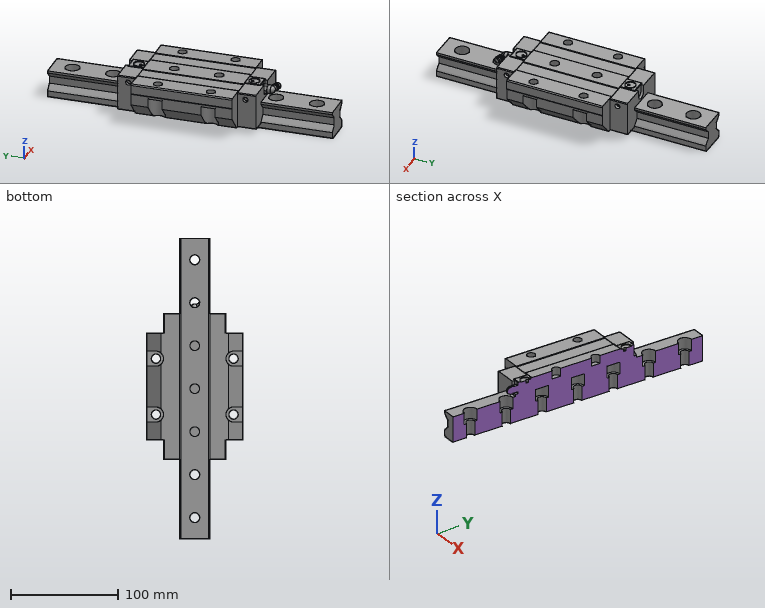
import cadquery as cq
import math


rail_length = 280
rail_half_width = 14
rail_height = 27.5
rail_bottom_chamfer = 1.0
rail_foot_top = 6.7
rail_head_bottom = 25.2
rail_edge_half_width = 13.0
rail_edge_height = 1.5
neck_half_width = 8.7
neck_bottom = 12.3
neck_top = 19.5
rail_hole_pitch = 40.0
rail_hole_count = 7
rail_hole_diameter = 9.0
rail_counterbore_diameter = 14
rail_counterbore_depth = 12.0

overall_height = 42
body_bottom = 6.0
body_length = 99.5
body_center_y = -2.0
flange_half_width = 44.95
flange_chamfer = 1.0
side_step_height = 31.5
side_step_depth = 0.5
side_step_rise = 0.8
slope_top = 20.5
slope_bottom_half_width = 31.5
recess_inner_half_width = 10.5
recess_outer_half_width = 25.8
recess_depth = 0.5
recess_wall_run = 0.5
flange_hole_x = 36.0
flange_hole_spacing = 52.0
flange_hole_diameter = 8.5
flange_pocket_width = 14
flange_pocket_top = 29.0
center_hole_spacing = 44.0
center_hole_diameter = 9.0
center_hole_depth = 8.5

cap_length = 18.2
cap_half_width = 29.0
cap_top = 41.2
cap_chamfer = 0.8
cap_side_hole_diameter = 5.0
cap_side_hole_depth = 3.5
cap_side_hole_z = 35.3
cap_side_hole_offset = 7.8
pad_width = 16.0
pad_length = 15.7
pad_top = 41.7
pad_chamfer = 0.8
seal_diameter = 10.5
seal_depth = 0.8
seal_offset = 7.0
oil_hole_diameter = 2.2
oil_hole_depth = 2.8
oil_hole_shift = 1.82

port_z = 35.0
port_width = 10.5
port_depth = 2.8
nipple_hex_flats = 7.5
nipple_collar_start = 2.2
nipple_collar_length = 3.5
nipple_collar_diameter = 8.5
nipple_ball_diameter = 7.3
nipple_arm_angle = 18
nipple_arm_diameters = (5.5, 6.7, 4.8, 6.2)
nipple_arm_ends = (4.8, 6.5, 8.0, 10.5)
nipple_tip_diameter = 5.0
nipple_tip_end = 11.5

body_end = body_length / 2
cap_end = body_end + cap_length


def mirrored_profile(right_half, length):
    """Extrude a section given by its right half, bottom to top, centred along Y."""
    left_half = [(-x, z) for x, z in reversed(right_half)]
    section = cq.Workplane("XZ").polyline(right_half + left_half).close()
    return section.extrude(length / 2, both=True)


def box_between(x_range, y_range, z_range):
    size = [high - low for low, high in (x_range, y_range, z_range)]
    box = cq.Workplane("XY").box(*size, centered=False)
    return box.translate((x_range[0], y_range[0], z_range[0]))


def cylinder(diameter, start, direction, length):
    return cq.Workplane(cq.Solid.makeCylinder(
        diameter / 2, length, cq.Vector(*start), cq.Vector(*direction)))


def make_rail_blank():
    return mirrored_profile(
        [
            (rail_half_width - rail_bottom_chamfer, 0),
            (rail_half_width, rail_bottom_chamfer),
            (rail_half_width, rail_foot_top),
            (rail_edge_half_width, rail_foot_top + rail_edge_height),
            (neck_half_width, neck_bottom),
            (neck_half_width, neck_top),
            (rail_edge_half_width, rail_head_bottom - rail_edge_height),
            (rail_half_width, rail_head_bottom),
            (rail_half_width, rail_height),
        ],
        rail_length,
    )


def drill_rail(rail):
    holes = (
        rail.faces(">Z").workplane(origin=(0, 0, rail_height))
        .rarray(2.8, rail_hole_pitch, 1, rail_hole_count)
    )
    return holes.cboreHole(rail_hole_diameter, rail_counterbore_diameter, rail_counterbore_depth)


def make_body():
    lower_half_width = flange_half_width - side_step_depth
    recess_floor = overall_height - recess_depth
    body = mirrored_profile(
        [
            (slope_bottom_half_width, body_bottom),
            (lower_half_width, slope_top),
            (lower_half_width, side_step_height),
            (flange_half_width, side_step_height + side_step_rise),
            (flange_half_width, overall_height - flange_chamfer),
            (flange_half_width - flange_chamfer, overall_height),
            (recess_outer_half_width, overall_height),
            (recess_outer_half_width - recess_wall_run, recess_floor),
            (recess_inner_half_width + recess_wall_run, recess_floor),
            (recess_inner_half_width, overall_height),
        ],
        body_length,
    )
    for side in (-1, 1):
        for end in (-1, 1):
            body = body.cut(make_flange_hole(side, end * flange_hole_spacing / 2))
    for end in (-1, 1):
        start = (0, end * center_hole_spacing / 2, overall_height)
        body = body.cut(cylinder(center_hole_diameter, start, (0, 0, -1), center_hole_depth))
    return body


def make_flange_hole(side, y):
    """Vertical hole over a round-ended pocket that opens to the outer side."""
    x = side * flange_hole_x
    half_width = flange_pocket_width / 2
    opening = box_between(
        sorted((x, side * flange_half_width)),
        (y - half_width, y + half_width),
        (0, flange_pocket_top),
    )
    pocket_end = cylinder(flange_pocket_width, (x, y, 0), (0, 0, 1), flange_pocket_top)
    hole = cylinder(flange_hole_diameter, (x, y, 0), (0, 0, 1), overall_height)
    return opening.union(pocket_end).union(hole)


def make_cap():
    """End cap at the -Y end of the carriage."""
    cap = box_between((-cap_half_width, cap_half_width), (-cap_end, -body_end), (body_bottom, cap_top))
    cap = cap.edges("|Y").chamfer(cap_chamfer)
    pad_end = -body_end - pad_length
    pad = box_between((-pad_width / 2, pad_width / 2), (pad_end, -body_end), (port_z, pad_top))
    pad = pad.faces(">Z").edges("<X or >X or <Y").chamfer(pad_chamfer)
    cap = cap.union(pad)

    seal_y = -body_end - seal_offset
    seal_floor = pad_top - seal_depth
    cap = cap.cut(cylinder(seal_diameter, (0, seal_y, pad_top), (0, 0, -1), seal_depth))
    oil_start = (0, seal_y + oil_hole_shift, seal_floor)
    cap = cap.cut(cylinder(oil_hole_diameter, oil_start, (0, 0, -1), oil_hole_depth))

    port = cylinder(port_width, (0, -cap_end, port_z), (0, 1, 0), port_depth)
    port_slot = box_between(
        (-port_width / 2, port_width / 2), (-cap_end, -cap_end + port_depth), (port_z, overall_height))
    cap = cap.cut(port).cut(port_slot)

    for side in (-1, 1):
        start = (side * cap_half_width, -body_end - cap_side_hole_offset, cap_side_hole_z)
        cap = cap.cut(cylinder(cap_side_hole_diameter, start, (-side, 0, 0), cap_side_hole_depth))
    return cap


def make_nipple():
    """Angled grease nipple seated in the port of the -Y end cap."""
    hex_corners = nipple_hex_flats / math.cos(math.pi / 6)
    shank = (
        cq.Workplane("XZ", origin=(0, -cap_end + port_depth, port_z))
        .polygon(6, hex_corners)
        .extrude(port_depth + nipple_collar_start)
    )
    collar_start = (0, -cap_end - nipple_collar_start, port_z)
    collar = cylinder(nipple_collar_diameter, collar_start, (0, -1, 0), nipple_collar_length)
    ball_y = -cap_end - nipple_collar_start - nipple_collar_length
    ball = cq.Workplane("XY").sphere(nipple_ball_diameter / 2)

    arm_outline = [(0, 0)]
    step_start = 0
    for diameter, step_end in zip(nipple_arm_diameters, nipple_arm_ends):
        arm_outline += [(step_start, diameter / 2), (step_end, diameter / 2)]
        step_start = step_end
    arm_outline += [(nipple_tip_end, nipple_tip_diameter / 2), (nipple_tip_end, 0)]
    arm = cq.Workplane("XY").polyline(arm_outline).close().revolve(360, (0, 0, 0), (1, 0, 0))
    arm = arm.rotate((0, 0, 0), (0, 0, 1), -nipple_arm_angle)
    elbow = ball.union(arm).translate((0, ball_y, port_z))
    return shank.union(collar).union(elbow)


front_cap = make_cap()
back_cap = front_cap.mirror("XZ")
carriage = make_body().union(front_cap).union(back_cap).union(make_nipple())
carriage = carriage.translate((0, body_center_y, 0))

rail_blank = make_rail_blank()
result = carriage.cut(rail_blank).union(drill_rail(rail_blank))